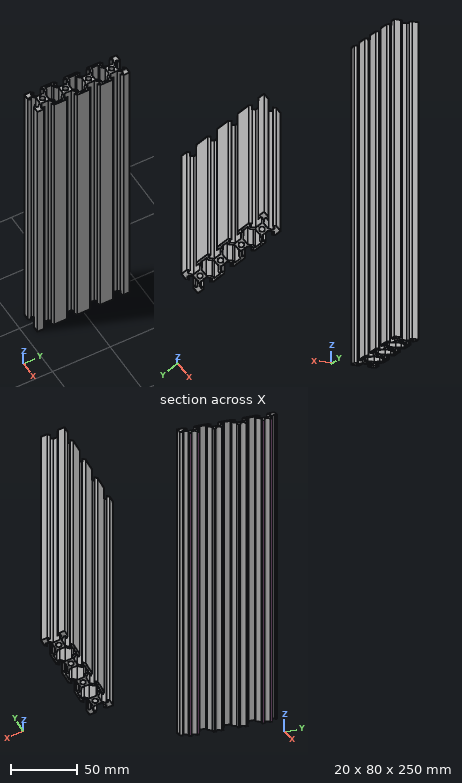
import cadquery as cq
import math

length = 250.0
cell = 20.0
cell_count = 4
bore_diameter = 4.2

mouth_width = 9.2
throat_width = 5.8
pocket_width = 10.8
lip_thickness = 1.8

core_width = 8.0
web_thickness = 1.65

half_cell = cell / 2
half_core = core_width / 2
half_pocket = pocket_width / 2
web_offset = web_thickness / 2 * math.sqrt(2)

cell_centers = [(i - (cell_count - 1) / 2) * cell for i in range(cell_count)]
joint_centers = [y + half_cell for y in cell_centers[:-1]]


def mirrored_prism(half_outline):
    """Extrude a closed outline made of the given points and their mirror image across the X axis."""
    mirrored = [(x, -y) for x, y in reversed(half_outline)]
    return cq.Workplane("XY").polyline(half_outline + mirrored).close().extrude(length)


def v_slot():
    """Slot of a cell centred on the origin, opening toward +X."""
    half_mouth = mouth_width / 2
    half_throat = throat_width / 2
    bevel_depth = half_mouth - half_throat
    return mirrored_prism([
        (half_core, half_core - web_offset),
        (half_pocket + web_offset, half_pocket),
        (half_cell - lip_thickness, half_pocket),
        (half_cell - lip_thickness, half_throat),
        (half_cell - bevel_depth, half_throat),
        (half_cell, half_mouth),
    ])


def hollow():
    """Octagonal chamber between two neighbouring cells, centred on the origin."""
    half_width = half_cell - lip_thickness
    half_depth = half_cell - half_core
    half_side = half_cell - half_pocket - web_thickness
    corner_x = half_cell - half_side - web_offset
    core_x = half_core - web_offset
    return mirrored_prism([
        (-half_width, half_side),
        (-corner_x, half_side),
        (-core_x, half_depth),
        (core_x, half_depth),
        (corner_x, half_side),
        (half_width, half_side),
    ])


def turned(solid, angle):
    """Rotate a solid about the Z axis."""
    return solid.rotate((0, 0, 0), (0, 0, 1), angle)


result = cq.Workplane("XY").rect(cell, cell * cell_count).extrude(length)

slot = v_slot()
for y in cell_centers:
    for angle in (0, 180):
        result = result.cut(turned(slot, angle).translate((0, y, 0)))

result = result.cut(turned(slot, 90).translate((0, cell_centers[-1], 0)))
result = result.cut(turned(slot, -90).translate((0, cell_centers[0], 0)))

chamber = hollow()
for y in joint_centers:
    result = result.cut(chamber.translate((0, y, 0)))

bore_points = [(0, y) for y in cell_centers]
bores = cq.Workplane("XY").pushPoints(bore_points).circle(bore_diameter / 2).extrude(length)
result = result.cut(bores)